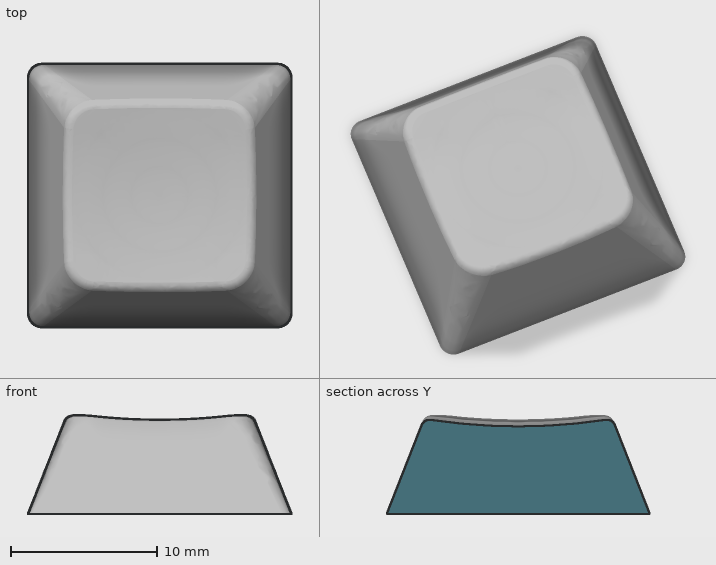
import cadquery as cq

base_width = 18.0
base_corner_radius = 1.0

upper_width = 12.5
upper_corner_radius = 2.0
upper_height = 7.0

dish_radius = 40.0
dish_floor_height = 6.0
rim_fillet_radius = 0.6


def rounded_square(width, corner_radius, height):
    """Square outline with rounded corners, centred on Z at the given height."""
    return (
        cq.Sketch()
        .rect(width, width)
        .vertices()
        .fillet(corner_radius)
        .moved(cq.Location(cq.Vector(0, 0, height)))
    )


def make_body():
    """Solid with four flat sloping walls and corners that widen upward."""
    return cq.Workplane("XY").placeSketch(
        rounded_square(base_width, base_corner_radius, 0),
        rounded_square(upper_width, upper_corner_radius, upper_height),
    ).loft(ruled=True)


def cut_dish(body):
    """Scoop the whole top with a sphere whose lowest point is on the Z axis."""
    sphere = cq.Workplane("XY").sphere(dish_radius)
    return body.cut(sphere.translate((0, 0, dish_floor_height + dish_radius)))


def round_rim(body):
    """Round the edge between the dish and the walls."""
    return body.faces("%SPHERE").edges().fillet(rim_fillet_radius)


result = round_rim(cut_dish(make_body()))